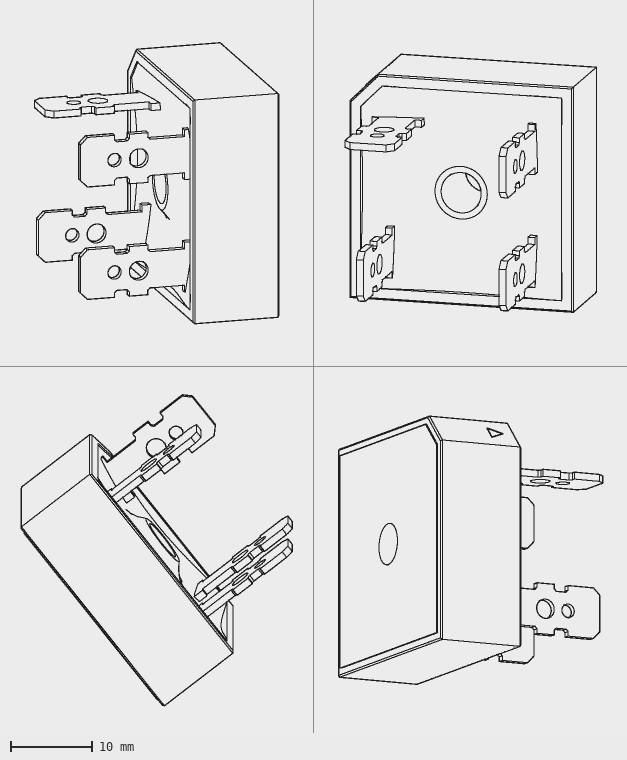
import cadquery as cq
import math

side = 28.55
total_depth = 24.25
corner_clip = 3.6
edge_chamfer = 0.2
base_plate_thickness = 0.17
base_plate_inset = 0.97
wall = 1.43
cavity_depth = 3.43
boss_diameter = 6.68
hole_diameter = 5.1

potting_foot_depth = 1.57
potting_foot_radius = 6.15
potting_low_depth = 1.68
potting_low_radius = 8.56
potting_wall_depth = 0.9

tab_length = 13.0
tab_width = 6.35
tab_neck_width = 4.63
tab_thickness = 0.89
tab_tip_chamfer = 0.89
tab_notch_chamfer = 0.29
shoulder_depth = 0.35
notch_front = 4.37
notch_back = 6.25
barb_back = 8.65
small_hole_from_tip = 4.37
large_hole_from_tip = 7.48
small_hole_diameter = 1.68
large_hole_diameter = 2.4

tab_column = 8.88
left_tab_column = -9.35
flat_tab_column = -8.3
lower_tab_row = -8.35
upper_tab_row = 6.0
flat_tab_row = 8.3

mark_height = 0.09
mark_width = 1.9
mark_length = 1.83
mark_tip_from_rim = 1.7

rear_y = total_depth / 2
tip_y = -rear_y
rim_y = tip_y + tab_length
body_rear_y = rear_y - base_plate_thickness
cavity_floor_y = rim_y + cavity_depth


def clipped_square(inset, front_y, back_y):
    """Prism along Y with the housing outline moved inward by `inset`."""
    half = side / 2 - inset
    clip = corner_clip - inset * (2 - math.sqrt(2))
    outline = [
        (-half, -half),
        (half, -half),
        (half, half),
        (-half + clip, half),
        (-half, half - clip),
    ]
    plane = cq.Workplane("XZ", origin=(0, back_y, 0))
    return plane.polyline(outline).close().extrude(back_y - front_y)


def cylinder_y(diameter, front_y, back_y):
    """Cylinder along Y about the hole axis."""
    return cq.Workplane("XZ", origin=(0, back_y, 0)).circle(diameter / 2).extrude(back_y - front_y)


def housing():
    """Open case with its base plate and a central boss."""
    block = clipped_square(0, rim_y, body_rear_y)
    block = block.faces("<Y or >Y").edges().chamfer(edge_chamfer)
    plate = clipped_square(base_plate_inset, body_rear_y, rear_y)
    cavity = clipped_square(wall, rim_y, cavity_floor_y)
    boss = cylinder_y(boss_diameter, rim_y, cavity_floor_y)
    return block.union(plate).cut(cavity).union(boss)


def potting():
    """Surface of revolution about the hole, trimmed to the cavity."""
    wall_distance = side / 2 - wall
    corner_radius = math.sqrt(2) * wall_distance
    meniscus = [
        (potting_foot_radius, rim_y + potting_foot_depth),
        (potting_low_radius, rim_y + potting_low_depth),
        (wall_distance, rim_y + potting_wall_depth),
        (corner_radius, rim_y),
    ]
    dish = (
        cq.Workplane("XY")
        .moveTo(0, cavity_floor_y)
        .lineTo(0, rim_y)
        .lineTo(boss_diameter / 2, rim_y)
        .spline(meniscus, includeCurrent=True)
        .lineTo(corner_radius, cavity_floor_y)
        .close()
        .revolve(360, (0, 0, 0), (0, 1, 0))
    )
    return dish.intersect(clipped_square(wall, rim_y, cavity_floor_y))


def tab():
    """Tab in the YZ plane, centred on X = 0 and Z = 0."""
    half = tab_width / 2
    neck = tab_neck_width / 2
    relief = tab_notch_chamfer
    notch_front_y = tip_y + notch_front
    notch_back_y = tip_y + notch_back
    barb_back_y = tip_y + barb_back
    shoulder_y = rim_y + shoulder_depth
    upper_edge = [
        (tip_y, half - tab_tip_chamfer),
        (tip_y + tab_tip_chamfer, half),
        (notch_front_y, half),
        (notch_front_y, neck + relief),
        (notch_front_y + relief, neck),
        (notch_back_y - relief, neck),
        (notch_back_y, neck + relief),
        (notch_back_y, half),
        (barb_back_y, half),
        (barb_back_y, neck + relief),
        (barb_back_y + relief, neck),
        (shoulder_y, neck),
        (shoulder_y, half),
        (cavity_floor_y, half),
    ]
    lower_edge = [(y, -z) for y, z in reversed(upper_edge)]
    flat_face = cq.Workplane("YZ", origin=(-tab_thickness / 2, 0, 0))
    blade = flat_face.polyline(upper_edge + lower_edge).close().extrude(tab_thickness)
    for diameter, from_tip in (
        (small_hole_diameter, small_hole_from_tip),
        (large_hole_diameter, large_hole_from_tip),
    ):
        hole = flat_face.moveTo(tip_y + from_tip, 0).circle(diameter / 2).extrude(tab_thickness)
        blade = blade.cut(hole)
    return blade


def polarity_mark():
    """Triangle on the clipped face, pointing toward the rim."""
    face_centre = side / 2 - corner_clip / 2
    sunk = face_centre - mark_height / math.sqrt(2)
    slope = cq.Plane(origin=(-sunk, 0, sunk), xDir=(1, 0, 1), normal=(-1, 0, 1))
    tip = rim_y + mark_tip_from_rim
    base = tip + mark_length
    corners = [(0, tip), (mark_width / 2, base), (-mark_width / 2, base)]
    return cq.Workplane(slope).polyline(corners).close().extrude(2 * mark_height)


result = housing().union(potting())
upright_tab = tab()
for x, z in (
    (tab_column, upper_tab_row),
    (tab_column, lower_tab_row),
    (left_tab_column, lower_tab_row),
):
    result = result.union(upright_tab.translate((x, 0, z)))
flat_tab = upright_tab.rotate((0, 0, 0), (0, 1, 0), 90)
result = result.union(flat_tab.translate((flat_tab_column, 0, flat_tab_row)))
result = result.union(polarity_mark())
result = result.cut(cylinder_y(hole_diameter, rim_y, rear_y))